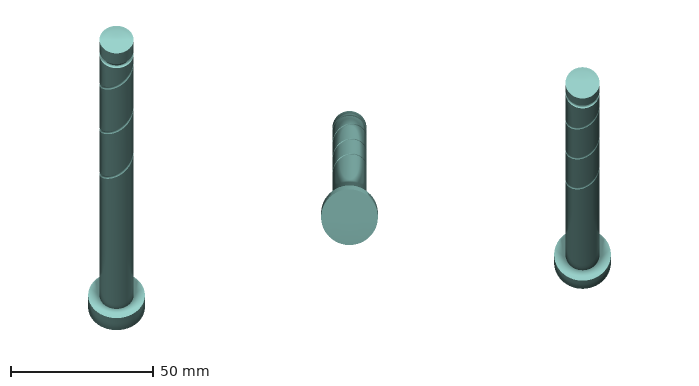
import cadquery as cq

total_length = 160.0
head_diameter = 20.0
head_height = 7.2
rod_diameter = 12.0
rod_radius = rod_diameter / 2

tip_length = 6.4
neck_width = 2.4
neck_diameter = 9.6
neck_bottom = total_length - tip_length - neck_width

helix_height = 80.0
helix_turns = 3
helix_pitch = helix_height / helix_turns
helix_bottom = neck_bottom - helix_height
helix_groove_radius = 0.8
helix_start_angle = 90.0


def make_pin():
    """Headed pin standing on its head, with a reduced neck below the tip."""
    head = cq.Workplane("XY").circle(head_diameter / 2).extrude(head_height)
    pin = head.faces(">Z").workplane().circle(rod_radius).extrude(neck_bottom - head_height)
    pin = pin.faces(">Z").workplane().circle(neck_diameter / 2).extrude(neck_width)
    return pin.faces(">Z").workplane().circle(rod_radius).extrude(tip_length)


def make_helix_cutter():
    """Round right-handed coil centred on the rod surface."""
    path = cq.Wire.makeHelix(helix_pitch, helix_height, rod_radius)
    coil = (
        cq.Workplane("XZ")
        .center(rod_radius, 0)
        .circle(helix_groove_radius)
        .sweep(cq.Workplane(path), isFrenet=True)
    )
    return coil.rotate((0, 0, 0), (0, 0, 1), helix_start_angle).translate((0, 0, helix_bottom))


def make_tip_keeper():
    """Tip cylinder that stays whole where the coil reaches the ring groove."""
    return (
        cq.Workplane("XY")
        .workplane(offset=neck_bottom)
        .circle(head_diameter / 2)
        .extrude(neck_width + tip_length)
    )


cutter = make_helix_cutter().cut(make_tip_keeper())
result = make_pin().cut(cutter)